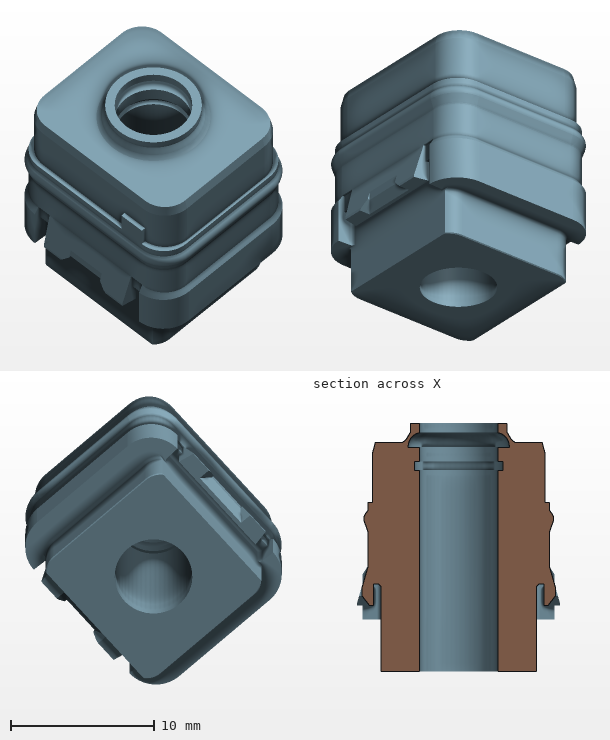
import cadquery as cq

TOTAL_HEIGHT = 17.33

BAND_HALF_X = 7.23
BAND_HALF_Y = 6.36
CORNER_RADIUS = 2.15
BAND_TOP = 11.84

CAP_INSET_X = 0.2
CAP_INSET_Y = 0.33
CAP_TOP = 16.01
CAP_BEVEL_HEIGHT = 0.73
CAP_BEVEL_WIDTH = 0.19

COLLAR_GROWTH_X = 0.28
COLLAR_GROWTH_Y = 0.33
COLLAR_BOTTOM = 3.6
COLLAR_SHOULDER = 6.8
COLLAR_TOP = 7.31

BEAD_BOTTOM = 9.74
BEAD_FOOT = 9.83
BEAD_CREST_START = 10.5
BEAD_CREST = 10.75
BEAD_SHOULDER = 11.1
BEAD_TOP = 11.25
BEAD_GROWTH = 0.28
BEAD_FOOT_GROWTH = 0.02
BEAD_CREST_START_GROWTH = 0.26
BEAD_SHOULDER_GROWTH = 0.1

PLUG_HALF_X = 5.7
PLUG_HALF_Y = 5.45
PLUG_ROUND_HALF_Y = 5.9
PLUG_CORNER_RADIUS = 1.6
PLUG_CHAMFER = 0.07
FLARE_RADIUS = 0.23

WINDOW_HALF_WIDTH_ROOT = 5.0
WINDOW_HALF_WIDTH_OUTER = 5.06
WINDOW_TOP = 6.1
WINDOW_FILLET = 0.26
RECESS_TOP = 7.37
RECESS_DEPTH = 0.17

LATCH_BOTTOM = 4.6
LATCH_LIP_HEIGHT = 0.19
LATCH_SPAN_Y = 14.15
LATCH_OUTER_Y = LATCH_SPAN_Y / 2
LATCH_BACK_Y = 5.95
LATCH_HALF_WIDTH_BACK = 4.04
LATCH_HALF_WIDTH_OUTER = 3.81

GRIP_HALF_WIDTH = 1.5
GRIP_DEPTH_Y = 6.76
GRIP_TOP = 5.96
GRIP_UNDERCUT_TOP = 5.27
GRIP_BEVEL = GRIP_UNDERCUT_TOP - LATCH_BOTTOM
GRIP_UNDERCUT_DEPTH = 0.52

TAB_LEFT = 3.03
TAB_RIGHT = 5.0
TAB_TOP = 13.3

NECK_RADIUS = 3.38
NECK_STRAIGHT_BOTTOM = 16.74
NECK_CONE_RADIUS = 3.65
NECK_CONE_BOTTOM = 16.27
NECK_FOOT_RADIUS = 3.99

BORE_DIAMETER = 5.42
BORE_RADIUS = BORE_DIAMETER / 2
SEAL_GROOVE_TOP = 16.67
SEAL_GROOVE_BOTTOM = 15.68
SEAL_GROOVE_RADIUS = 3.52
SEAL_GROOVE_MID = (3.36, 16.25)
LOWER_GROOVE_TOP = 14.65
LOWER_GROOVE_BOTTOM = 14.07
LOWER_GROOVE_RADIUS = 3.08

OVERLAP = 0.87


def rounded_block(half_x, half_y, radius, bottom, top):
    """Rounded-rectangle prism centred on the Z axis."""
    block = cq.Workplane("XY").workplane(offset=bottom).rect(2 * half_x, 2 * half_y)
    return block.extrude(top - bottom).edges("|Z").fillet(radius)


def box_between(x_range, y_range, z_range):
    """Axis-aligned box from the (low, high) range on each axis."""
    size = [high - low for low, high in (x_range, y_range, z_range)]
    corner = (x_range[0], y_range[0], z_range[0])
    return cq.Workplane("XY").box(*size, centered=False).translate(corner)


def drafted_block(inner_half_width, inner_y, outer_half_width, outer_y, bottom, top):
    """Upright block on the -Y side whose width changes evenly from its inner to its outer face."""
    plan = cq.Workplane("XY").workplane(offset=bottom).polyline([
        (-inner_half_width, -inner_y),
        (-outer_half_width, -outer_y),
        (outer_half_width, -outer_y),
        (inner_half_width, -inner_y),
    ])
    return plan.close().extrude(top - bottom)


def make_band():
    return rounded_block(BAND_HALF_X, BAND_HALF_Y, CORNER_RADIUS, COLLAR_BOTTOM, BAND_TOP)


def make_cap():
    cap = rounded_block(
        BAND_HALF_X - CAP_INSET_X, BAND_HALF_Y - CAP_INSET_Y, CORNER_RADIUS, BAND_TOP - OVERLAP, CAP_TOP
    )
    return cap.faces(">Z").edges().chamfer(CAP_BEVEL_HEIGHT, CAP_BEVEL_WIDTH)


def make_collar():
    collar = rounded_block(
        BAND_HALF_X + COLLAR_GROWTH_X,
        BAND_HALF_Y + COLLAR_GROWTH_Y,
        CORNER_RADIUS + COLLAR_GROWTH_Y,
        COLLAR_BOTTOM,
        COLLAR_TOP,
    )
    return collar.faces(">Z").edges().chamfer(COLLAR_TOP - COLLAR_SHOULDER, COLLAR_GROWTH_Y)


def make_bead():
    """Bead profile swept around the outline of the band."""
    path = (
        cq.Workplane("XY")
        .workplane(offset=BEAD_BOTTOM)
        .rect(2 * BAND_HALF_X, 2 * BAND_HALF_Y)
        .extrude(OVERLAP)
        .edges("|Z")
        .fillet(CORNER_RADIUS)
        .faces("<Z")
        .wires()
        .val()
    )
    inner_y = -BAND_HALF_Y + OVERLAP
    profile = (
        cq.Workplane("YZ")
        .moveTo(inner_y, BEAD_BOTTOM)
        .lineTo(-BAND_HALF_Y, BEAD_BOTTOM)
        .lineTo(-BAND_HALF_Y - BEAD_FOOT_GROWTH, BEAD_FOOT)
        .lineTo(-BAND_HALF_Y - BEAD_CREST_START_GROWTH, BEAD_CREST_START)
        .threePointArc(
            (-BAND_HALF_Y - BEAD_GROWTH, BEAD_CREST),
            (-BAND_HALF_Y - BEAD_SHOULDER_GROWTH, BEAD_SHOULDER),
        )
        .lineTo(-BAND_HALF_Y, BEAD_TOP)
        .lineTo(inner_y, BEAD_TOP)
        .close()
    )
    return profile.sweep(cq.Workplane(path))


def make_plug():
    """Plug with a concave flare where it meets the underside of the collar."""
    top = COLLAR_BOTTOM + OVERLAP
    plug = rounded_block(PLUG_HALF_X, PLUG_ROUND_HALF_Y, PLUG_CORNER_RADIUS, 0, top)
    plug = plug.faces("<Z").edges().chamfer(PLUG_CHAMFER)
    margin = 2 * FLARE_RADIUS
    plate = rounded_block(
        PLUG_HALF_X + margin, PLUG_ROUND_HALF_Y + margin, PLUG_CORNER_RADIUS + margin, COLLAR_BOTTOM, top
    )
    reach_x = PLUG_HALF_X + FLARE_RADIUS
    reach_y = PLUG_ROUND_HALF_Y + FLARE_RADIUS
    joint = cq.selectors.BoxSelector(
        (-reach_x, -reach_y, COLLAR_BOTTOM - FLARE_RADIUS),
        (reach_x, reach_y, COLLAR_BOTTOM + FLARE_RADIUS),
        boundingbox=True,
    )
    plug = plug.union(plate).edges(joint).fillet(FLARE_RADIUS)
    slab = box_between((-BAND_HALF_X, BAND_HALF_X), (-PLUG_HALF_Y, PLUG_HALF_Y), (0, top))
    return plug.intersect(slab)


def make_tab():
    return box_between(
        (TAB_LEFT, TAB_RIGHT), (-BAND_HALF_Y, -BAND_HALF_Y + OVERLAP), (BAND_TOP - OVERLAP, TAB_TOP)
    )


def make_window_cutter():
    """Window and recess on the -Y side."""
    outer_y = BAND_HALF_Y + COLLAR_GROWTH_Y
    window = drafted_block(
        WINDOW_HALF_WIDTH_ROOT, PLUG_HALF_Y, WINDOW_HALF_WIDTH_OUTER, outer_y, 0, WINDOW_TOP
    )
    window = window.edges("(>Y and |Z) or (>Y and >Z)").fillet(WINDOW_FILLET)
    recess = drafted_block(
        WINDOW_HALF_WIDTH_ROOT, PLUG_HALF_Y, WINDOW_HALF_WIDTH_OUTER, outer_y, WINDOW_TOP, RECESS_TOP
    )
    recess = recess.cut(
        box_between(
            (-BAND_HALF_X, BAND_HALF_X), (-BAND_HALF_Y + RECESS_DEPTH, 0), (WINDOW_TOP, RECESS_TOP)
        )
    )
    return window.union(recess)


def make_latch():
    """Latch on the -Y side: ramp profile, trimmed by drafted sides, minus the grip notch."""
    ramp = (
        cq.Workplane("YZ")
        .polyline([
            (-LATCH_BACK_Y, LATCH_BOTTOM),
            (-LATCH_OUTER_Y, LATCH_BOTTOM),
            (-LATCH_OUTER_Y, LATCH_BOTTOM + LATCH_LIP_HEIGHT),
            (-BAND_HALF_Y, COLLAR_TOP),
            (-BAND_HALF_Y, RECESS_TOP),
            (-LATCH_BACK_Y, RECESS_TOP),
        ])
        .close()
        .extrude(LATCH_HALF_WIDTH_BACK, both=True)
    )
    drafted_sides = drafted_block(
        LATCH_HALF_WIDTH_BACK,
        LATCH_BACK_Y,
        LATCH_HALF_WIDTH_OUTER,
        LATCH_OUTER_Y,
        LATCH_BOTTOM,
        RECESS_TOP,
    )
    grip_outline = (
        cq.Workplane("XZ")
        .polyline([
            (-GRIP_HALF_WIDTH - GRIP_BEVEL, LATCH_BOTTOM),
            (-GRIP_HALF_WIDTH, GRIP_UNDERCUT_TOP),
            (-GRIP_HALF_WIDTH, GRIP_TOP),
            (GRIP_HALF_WIDTH, GRIP_TOP),
            (GRIP_HALF_WIDTH, GRIP_UNDERCUT_TOP),
            (GRIP_HALF_WIDTH + GRIP_BEVEL, LATCH_BOTTOM),
        ])
        .close()
        .extrude(LATCH_OUTER_Y + OVERLAP)
    )
    grip_depth = (
        cq.Workplane("YZ")
        .polyline([
            (-LATCH_OUTER_Y - OVERLAP, LATCH_BOTTOM),
            (-GRIP_DEPTH_Y + GRIP_UNDERCUT_DEPTH, LATCH_BOTTOM),
            (-GRIP_DEPTH_Y, GRIP_UNDERCUT_TOP),
            (-GRIP_DEPTH_Y, GRIP_TOP),
            (-LATCH_OUTER_Y - OVERLAP, GRIP_TOP),
        ])
        .close()
        .extrude(LATCH_HALF_WIDTH_BACK, both=True)
    )
    return ramp.intersect(drafted_sides).cut(grip_outline.intersect(grip_depth))


def make_neck():
    profile = (
        cq.Workplane("XZ")
        .moveTo(0, TOTAL_HEIGHT)
        .lineTo(NECK_RADIUS, TOTAL_HEIGHT)
        .lineTo(NECK_RADIUS, NECK_STRAIGHT_BOTTOM)
        .lineTo(NECK_CONE_RADIUS, NECK_CONE_BOTTOM)
        .tangentArcPoint((NECK_FOOT_RADIUS, CAP_TOP), relative=False)
        .lineTo(NECK_FOOT_RADIUS, CAP_TOP - OVERLAP)
        .lineTo(0, CAP_TOP - OVERLAP)
        .close()
    )
    return profile.revolve(360, (0, 0), (0, 1))


def make_bore():
    profile = (
        cq.Workplane("XZ")
        .moveTo(0, 0)
        .lineTo(BORE_RADIUS, 0)
        .lineTo(BORE_RADIUS, LOWER_GROOVE_BOTTOM)
        .lineTo(LOWER_GROOVE_RADIUS, LOWER_GROOVE_BOTTOM)
        .lineTo(LOWER_GROOVE_RADIUS, LOWER_GROOVE_TOP)
        .lineTo(BORE_RADIUS, LOWER_GROOVE_TOP)
        .lineTo(BORE_RADIUS, SEAL_GROOVE_BOTTOM)
        .lineTo(SEAL_GROOVE_RADIUS, SEAL_GROOVE_BOTTOM)
        .threePointArc(SEAL_GROOVE_MID, (BORE_RADIUS, SEAL_GROOVE_TOP))
        .lineTo(BORE_RADIUS, TOTAL_HEIGHT)
        .lineTo(0, TOTAL_HEIGHT)
        .close()
    )
    return profile.revolve(360, (0, 0), (0, 1))


def on_both_sides(shape):
    """The shape together with its mirror image across the XZ plane."""
    return shape.union(shape.mirror("XZ"))


housing = make_band().union(make_cap()).union(make_collar()).union(make_bead())
housing = housing.union(make_tab()).union(make_neck())
housing = housing.cut(on_both_sides(make_window_cutter()))
housing = housing.union(make_plug()).union(on_both_sides(make_latch()))
result = housing.cut(make_bore())